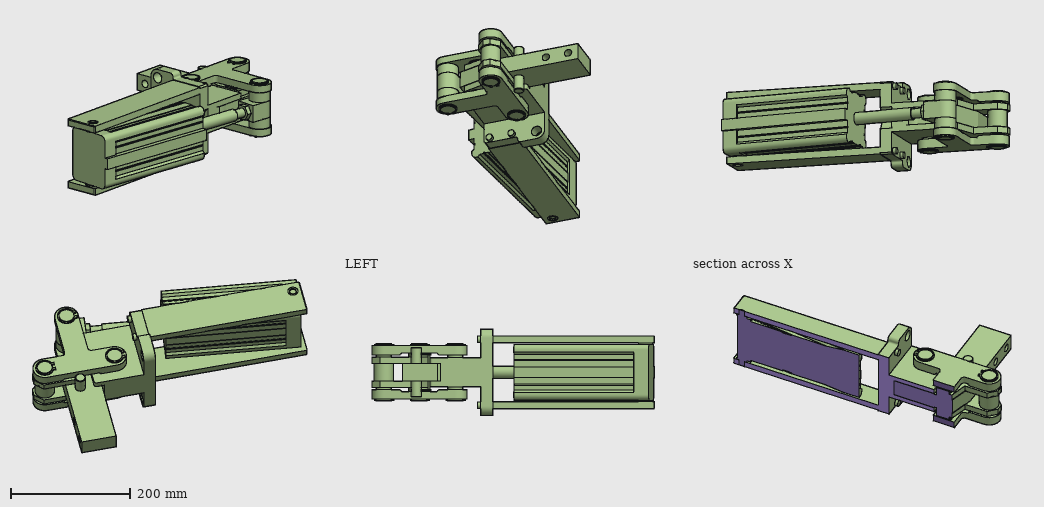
import cadquery as cq
import math


FIXED_PIVOT = (0, 0)
ARM_PIVOT = (0, 120.0)
ROD_PIVOT = (100.0, 60.0)
CYLINDER_PIVOT = (57.5, -319.0)

axis_x = ROD_PIVOT[0] - CYLINDER_PIVOT[0]
axis_y = ROD_PIVOT[1] - CYLINDER_PIVOT[1]
AXIS_LENGTH = math.hypot(axis_x, axis_y)
AXIS_TILT = math.degrees(math.atan2(axis_x, axis_y))

PIN_RADIUS = 13.0
SLOT_HALF = 14.5
RING_RADIUS = 15.0
RING_HEIGHT = 2.0
RING_GAP = 6.5
EAR_SIZE = 4.5
ROD_RADIUS = 10.5
ROD_ENTRY = 23.5
TRUNNION_RADIUS = 8.5
HUB_CENTER = (47.0, -4.5)
HUB_RADIUS = 28.5

BASE_LEFT = -34.0
BASE_RIGHT = 74.5
BLOCK_TOP = 42.0
BLOCK_HALF = 24.5
BLOCK_CORNER = 4.7
SLOT_FLOOR = 25.0
HUB_CLEARANCE = 0.5
FLANGE_BACK = -42.5
FLANGE_FRONT = -63.0
FLANGE_HALF = 72.5
FLANGE_CORNER = 14.5
STEP_X = 14.5
STEP_HALF = 62.0
STEP_ROUND = 6.5
STEP_INNER_ROUND = 3.5
STEP_END_CHAMFER = 3.0
MOUNT_HOLE_RADIUS = 9.0
ROD_CLEARANCE = 22.0
BAR_LEFT = 14.0
BAR_BOTTOM = -334.0
BAR_INNER = 49.5
BAR_OUTER = 61.0
BAR_CHAMFER = 1.5
SCREW_XS = (24.0, 63.5)
SCREW_RADIUS = 5.5
SCREW_HEIGHT = 5.5

ARM_TIP = -144.0
ARM_BOTTOM = 29.5
ARM_TOP = 88.5
ARM_SLOPE_START = 7.5
ARM_SLOPE_END = 69.5
ARM_HOLE_XS = (-126.5, -86.7)
ARM_HOLE_RADIUS = 6.4
CROSS_PIN = (-29.5, 65.5)
CROSS_PIN_RADIUS = 8.5
CROSS_PIN_HALF = 41.2
CROSS_PIN_CHAMFER = 1.0
CHEEK_OUTER = 25.5
CHEEK_HALF_WIDTH = 20.0
CHEEK_TOP = 140.0
CHEEK_CHAMFER = 13.7
CHEEK_BOTTOM = 46.0
CHEEK_LEFT_FOOT = 62.0
CHEEK_SLOPE_END = 18.0
CHEEK_ELBOW_TOP = 84.5
CHEEK_RIGHT = 66.5
CHEEK_RIGHT_TOP = 71.0
SPOOL_RADIUS = 16.5
ELBOW_PIN = (47.5, 58.5)
ELBOW_PIN_HALF = 31.5
ELBOW_RING_SEAT = 29.0

LINK_INNER = 29.0
LINK_RELIEF = 32.0
ROD_BOSS_RADIUS = 18.0
LINK_OUTER = 45.0
LINK_RADIUS = 20.0
LINK_FILLET = 6.0
PAD_LOW_END = 27.5
PAD_HIGH_START = 93.0
PIN_END = 48.0

EYE_HALF_WIDTH = 18.0
EYE_HALF_HEIGHT = 14.5
EYE_LENGTH = 31.8
NUT_HEIGHT = 8.0
NUT_DIAMETER = 27.5
THREAD_RADIUS = 8.0
THREAD_END = 59.5

CYL_HALF_X = 40.0
CYL_HALF_Z = 47.0
CYL_CORNER = 9.0
CYL_BACK = -9.5
CYL_HEAD = 218.0
CAP_END = 15.5
GROOVE_DEPTH = 4.0
GROOVE_SLOPE = 4.0
RIDGE_HEIGHT = 1.0
RIDGE_HALF = 9.0
SENSOR_SLOT_WIDTH = 2.0
SENSOR_SLOT_DEPTH = 2.0
SIDE_RIM = 33.5
SIDE_SLOT = 21.0
TOP_RIM = 28.5
TOP_SLOT = 16.5
RAIL_EDGE = 45.5
RAIL_HALF = 9.5
WASHER_RADIUS = 12.5
SOCKET_RADIUS = 5.5
SOCKET_DEPTH = 2.5

PICK_MARGIN = 0.5


def box(x0, x1, y0, y1, z0, z1):
    return cq.Workplane("XY").box(x1 - x0, y1 - y0, z1 - z0, centered=False).translate((x0, y0, z0))


def post(center, radius, z0, z1):
    """Round post along Z."""
    return cq.Workplane("XY", origin=(*center, z0)).circle(radius).extrude(z1 - z0)


def along_y(x, z, radius, y0, y1):
    """Round bar along Y, from y0 up to y1."""
    return cq.Workplane("XZ", origin=(x, y0, z)).circle(radius).extrude(y0 - y1)


def both_sides(upper):
    """The shape together with its mirror image below Z = 0."""
    return upper.union(upper.mirror("XY"))


def place_on_axis(local, pivot):
    """Tilt a shape built along Y onto the cylinder axis at the given pivot."""
    return local.rotate((0, 0, 0), (0, 0, 1), -AXIS_TILT).translate((*pivot, 0))


def make_retaining_ring(center, seat):
    """Open ring for a pin, lying on the height given as its seat."""
    x, y = center
    ring_top = seat + RING_HEIGHT
    ring = post(center, RING_RADIUS, seat, ring_top)
    ring = ring.cut(box(x - RING_GAP / 2, x + RING_GAP / 2, y - RING_RADIUS, y, seat, ring_top))
    ear_y = y - RING_RADIUS
    for side in (-1, 1):
        ear_x = x + side * (RING_GAP + EAR_SIZE) / 2
        ear = cq.Workplane("XY", origin=(ear_x, ear_y, seat)).rect(EAR_SIZE, EAR_SIZE).extrude(RING_HEIGHT)
        ring = ring.union(ear)
    return ring


def make_flange():
    half = (
        cq.Workplane("XZ", origin=(0, FLANGE_BACK, 0))
        .moveTo(BASE_LEFT, 0)
        .lineTo(BASE_LEFT, FLANGE_HALF)
        .lineTo(STEP_X, FLANGE_HALF)
        .lineTo(STEP_X, STEP_HALF)
        .lineTo(BASE_RIGHT, STEP_HALF)
        .lineTo(BASE_RIGHT, 0)
        .close()
        .extrude(FLANGE_BACK - FLANGE_FRONT)
    )

    def corner(x, z):
        low = (x - PICK_MARGIN, FLANGE_FRONT, z - PICK_MARGIN)
        high = (x + PICK_MARGIN, FLANGE_BACK, z + PICK_MARGIN)
        return cq.selectors.BoxSelector(low, high)

    half = half.edges(corner(BASE_LEFT, FLANGE_HALF)).fillet(FLANGE_CORNER)
    half = half.edges(corner(STEP_X, FLANGE_HALF)).fillet(STEP_ROUND)
    half = half.edges(corner(STEP_X, STEP_HALF)).fillet(STEP_INNER_ROUND)
    half = half.edges(corner(BASE_RIGHT, STEP_HALF)).chamfer(STEP_END_CHAMFER)
    hole_x = BASE_LEFT + FLANGE_CORNER
    hole_z = FLANGE_HALF - FLANGE_CORNER
    half = half.cut(along_y(hole_x, hole_z, MOUNT_HOLE_RADIUS, FLANGE_FRONT, FLANGE_BACK))
    flange = both_sides(half)
    rod_x = CYLINDER_PIVOT[0] + (FLANGE_FRONT - CYLINDER_PIVOT[1]) * axis_x / axis_y
    return flange.cut(along_y(rod_x, 0, ROD_CLEARANCE, FLANGE_FRONT, FLANGE_BACK))


def make_block():
    block = box(BASE_LEFT, BASE_RIGHT, FLANGE_BACK, BLOCK_TOP, -BLOCK_HALF, BLOCK_HALF)
    block = block.edges("|Z and <X and >Y").fillet(BLOCK_CORNER)
    bar_slot = box(BASE_LEFT, BASE_RIGHT, SLOT_FLOOR, BLOCK_TOP, -SLOT_HALF, SLOT_HALF)
    reach = HUB_RADIUS + HUB_CLEARANCE
    hub_slot = post(HUB_CENTER, reach, -SLOT_HALF, SLOT_HALF).union(
        box(HUB_CENTER[0] - reach, BASE_RIGHT, HUB_CENTER[1], BLOCK_TOP, -SLOT_HALF, SLOT_HALF)
    )
    pin_hole = post(FIXED_PIVOT, PIN_RADIUS, -BLOCK_HALF, BLOCK_HALF)
    return block.cut(bar_slot).cut(hub_slot).cut(pin_hole)


def make_side_bar():
    bar = box(BAR_LEFT, BASE_RIGHT, BAR_BOTTOM, FLANGE_FRONT, BAR_INNER, BAR_OUTER)
    bar = bar.faces("<Y").edges("|Z or >Z").chamfer(BAR_CHAMFER)
    return bar.cut(post(CYLINDER_PIVOT, TRUNNION_RADIUS, BAR_INNER, BAR_OUTER))


def make_base():
    bar_middle = (BAR_INNER + BAR_OUTER) / 2
    side = make_side_bar()
    for x in SCREW_XS:
        side = side.union(along_y(x, bar_middle, SCREW_RADIUS, FLANGE_FRONT, FLANGE_BACK + SCREW_HEIGHT))
    return make_block().union(make_flange()).union(both_sides(side))


def make_arm_bar():
    hub_left = HUB_CENTER[0] - HUB_RADIUS
    outline = [
        (ARM_TIP, ARM_BOTTOM),
        (hub_left, ARM_BOTTOM),
        (hub_left, HUB_CENTER[1]),
        (BASE_RIGHT, HUB_CENTER[1]),
        (BASE_RIGHT, ARM_SLOPE_END),
        (ARM_SLOPE_START, ARM_TOP),
        (ARM_TIP, ARM_TOP),
    ]
    bar = cq.Workplane("XY", origin=(0, 0, -SLOT_HALF)).polyline(outline).close().extrude(2 * SLOT_HALF)
    bar = bar.union(post(HUB_CENTER, HUB_RADIUS, -SLOT_HALF, SLOT_HALF))
    for x in ARM_HOLE_XS:
        bar = bar.cut(along_y(x, 0, ARM_HOLE_RADIUS, ARM_BOTTOM, ARM_TOP))
    cross_pin = post(CROSS_PIN, CROSS_PIN_RADIUS, -CROSS_PIN_HALF, CROSS_PIN_HALF)
    return bar.union(cross_pin.faces("<Z or >Z").chamfer(CROSS_PIN_CHAMFER))


def make_cheek():
    shoulder = CHEEK_TOP - CHEEK_CHAMFER
    tip = CHEEK_HALF_WIDTH - CHEEK_CHAMFER
    outline = [
        (-CHEEK_HALF_WIDTH, CHEEK_LEFT_FOOT),
        (-CHEEK_HALF_WIDTH, shoulder),
        (-tip, CHEEK_TOP),
        (tip, CHEEK_TOP),
        (CHEEK_HALF_WIDTH, shoulder),
        (CHEEK_HALF_WIDTH, CHEEK_ELBOW_TOP),
        (CHEEK_RIGHT, CHEEK_RIGHT_TOP),
        (CHEEK_RIGHT, CHEEK_BOTTOM),
        (CHEEK_SLOPE_END, CHEEK_BOTTOM),
    ]
    cheek = cq.Workplane("XY", origin=(0, 0, SLOT_HALF)).polyline(outline).close()
    return cheek.extrude(CHEEK_OUTER - SLOT_HALF)


def make_arm():
    arm = make_arm_bar().union(both_sides(make_cheek()))
    arm = arm.union(post(ARM_PIVOT, SPOOL_RADIUS, -SLOT_HALF, SLOT_HALF))
    elbow_pin = post(ELBOW_PIN, PIN_RADIUS, CHEEK_OUTER, ELBOW_PIN_HALF)
    arm = arm.union(both_sides(elbow_pin.union(make_retaining_ring(ELBOW_PIN, ELBOW_RING_SEAT))))
    return arm.cut(post(ARM_PIVOT, PIN_RADIUS, -CHEEK_OUTER, CHEEK_OUTER))


def make_link_plate():
    """T-shaped plate with thicker pads at its three pivots."""
    x_end, y_arm = ROD_PIVOT
    r = LINK_RADIUS
    plate = (
        cq.Workplane("XY", origin=(0, 0, LINK_INNER))
        .moveTo(-r, 0)
        .threePointArc((0, -r), (r, 0))
        .lineTo(r, y_arm - r)
        .lineTo(x_end, y_arm - r)
        .threePointArc((x_end + r, y_arm), (x_end, y_arm + r))
        .lineTo(r, y_arm + r)
        .lineTo(r, ARM_PIVOT[1])
        .threePointArc((0, ARM_PIVOT[1] + r), (-r, ARM_PIVOT[1]))
        .close()
        .extrude(LINK_OUTER - LINK_INNER)
    )
    inner_corners = cq.selectors.BoxSelector(
        (r - PICK_MARGIN, y_arm - r - PICK_MARGIN, LINK_INNER),
        (r + PICK_MARGIN, y_arm + r + PICK_MARGIN, LINK_OUTER),
    )
    plate = plate.edges("|Z").edges(inner_corners).fillet(LINK_FILLET)
    ramp = LINK_RELIEF - LINK_INNER
    relief = (
        cq.Workplane("YZ", origin=(-r, 0, 0))
        .moveTo(PAD_LOW_END, LINK_INNER)
        .lineTo(PAD_LOW_END + ramp, LINK_RELIEF)
        .lineTo(PAD_HIGH_START - ramp, LINK_RELIEF)
        .lineTo(PAD_HIGH_START, LINK_INNER)
        .close()
        .extrude(x_end + 2 * r)
    )
    return plate.cut(relief).union(post(ROD_PIVOT, ROD_BOSS_RADIUS, EYE_HALF_HEIGHT, LINK_RELIEF))


def make_bellcrank():
    upper = make_link_plate()
    for pivot in (FIXED_PIVOT, ARM_PIVOT, ROD_PIVOT):
        upper = upper.union(make_retaining_ring(pivot, LINK_OUTER))
    crank = both_sides(upper)
    for pivot in (FIXED_PIVOT, ARM_PIVOT, ROD_PIVOT):
        crank = crank.union(post(pivot, PIN_RADIUS, -PIN_END, PIN_END))
    return crank


def make_piston_rod():
    eye = post((0, 0), EYE_HALF_WIDTH, -EYE_HALF_HEIGHT, EYE_HALF_HEIGHT).union(
        box(-EYE_HALF_WIDTH, EYE_HALF_WIDTH, -EYE_LENGTH, 0, -EYE_HALF_HEIGHT, EYE_HALF_HEIGHT)
    )
    eye = eye.cut(post((0, 0), PIN_RADIUS, -EYE_HALF_HEIGHT, EYE_HALF_HEIGHT))
    nut = cq.Workplane("XZ", origin=(0, -EYE_LENGTH, 0)).polygon(6, NUT_DIAMETER).extrude(NUT_HEIGHT)
    thread = along_y(0, 0, THREAD_RADIUS, -THREAD_END, -EYE_LENGTH)
    shaft = along_y(0, 0, ROD_RADIUS, CYL_HEAD - ROD_ENTRY - AXIS_LENGTH, -THREAD_END)
    return place_on_axis(eye.union(nut).union(thread).union(shaft), ROD_PIVOT)


def make_face_groove(rim, slot_x, face, angle):
    """Cutter for one grooved long face, turned about the axis onto that face.

    Rim is half the groove's width, slot_x the sensor slots' offset from the middle
    and face the distance of the face from the axis.
    """
    foot = rim - GROOVE_SLOPE
    floor = face - GROOVE_DEPTH
    outline = [
        (-rim, face),
        (-foot, floor),
        (-RIDGE_HALF, floor),
        (-RIDGE_HALF, floor + RIDGE_HEIGHT),
        (RIDGE_HALF, floor + RIDGE_HEIGHT),
        (RIDGE_HALF, floor),
        (foot, floor),
        (rim, face),
    ]
    length = CYL_HEAD - CAP_END
    plane = cq.Workplane("XZ", origin=(0, CYL_HEAD, 0))
    cutter = plane.polyline(outline).close().extrude(length)
    slots = plane.pushPoints([(-slot_x, floor), (slot_x, floor)])
    cutter = cutter.union(slots.rect(SENSOR_SLOT_WIDTH, 2 * SENSOR_SLOT_DEPTH).extrude(length))
    return cutter.rotate((0, 0, 0), (0, 1, 0), angle)


def make_trunnion():
    washer = post((0, 0), WASHER_RADIUS, CYL_HALF_Z, BAR_INNER)
    pin = post((0, 0), TRUNNION_RADIUS, CYL_HALF_Z, BAR_OUTER)
    socket = post((0, 0), SOCKET_RADIUS, BAR_OUTER - SOCKET_DEPTH, BAR_OUTER)
    return washer.union(pin).cut(socket)


def make_cylinder():
    body = box(-CYL_HALF_X, CYL_HALF_X, CYL_BACK, CYL_HEAD, -CYL_HALF_Z, CYL_HALF_Z)
    body = body.edges("|Y").fillet(CYL_CORNER)
    for angle in (0, 180):
        body = body.cut(make_face_groove(TOP_RIM, TOP_SLOT, CYL_HALF_Z, angle))
    for angle in (90, 270):
        body = body.cut(make_face_groove(SIDE_RIM, SIDE_SLOT, CYL_HALF_X, angle))
    rail = box(CYL_HALF_X - GROOVE_DEPTH, RAIL_EDGE, CYL_BACK, CYL_HEAD, -RAIL_HALF, RAIL_HALF)
    body = body.union(rail).union(both_sides(make_trunnion()))
    body = body.cut(along_y(0, 0, ROD_RADIUS, CYL_HEAD - ROD_ENTRY, CYL_HEAD))
    return place_on_axis(body, CYLINDER_PIVOT)


base = make_base()
arm = make_arm()
bellcrank = make_bellcrank()
piston_rod = make_piston_rod()
cylinder = make_cylinder()

result = cq.Compound.makeCompound(
    [base.val(), arm.val(), bellcrank.val(), piston_rod.val(), cylinder.val()]
)